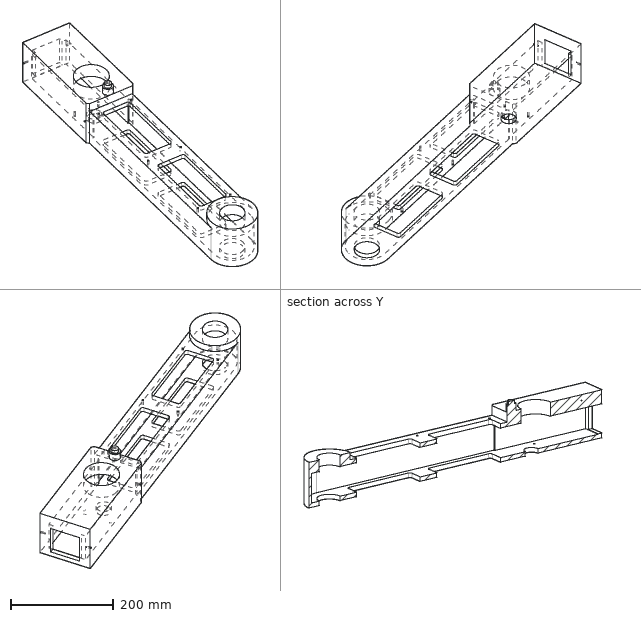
import cadquery as cq

length = 710.0
wall = 10.0
cavity_height = 60.0
cavity_top = wall + cavity_height

housing_length = 230.0
housing_width = 110.0
housing_height = 100.0
housing_chamfer = 5.0
housing_cavity_width = 80.0
end_window_width = 62.5
end_window_sill = 1.0
socket_diameter = 70.0
socket_x = 160.5
shaft_hole_diameter = 30.0
shaft_hole_x = 170.5
floor_screw_x = 143.5
floor_screw_y = 28.0
side_hole_diameter = 2.5
side_hole_depth = 10.0
side_hole_positions = (3.5, 219.5)

pin_diameter = 22.0
pin_x = housing_length - pin_diameter / 2
pin_shoulder_height = 115.0
pin_tip_diameter = 15.0
pin_top = 122.0

beam_width = 100.0
beam_height = 80.0
beam_cavity_width = 85.0
window_length = 153.5
window_width = 62.5
window_corner_radius = 5.0
window_centers = (323.0, 517.5)
screw_diameter = 3.3
screw_pitch = 175.5
screw_middle_x = 419.5
screw_y = 38.0

hub_diameter = beam_width
hub_height = 95.0
hub_x = length - hub_diameter / 2
hub_bore_diameter = 50.0
hub_cavity_diameter = beam_cavity_width


def block(x_start, x_end, width, z_start, z_end):
    """Box centred on the XZ plane."""
    return (
        cq.Workplane("XY", origin=(x_start, 0, z_start))
        .box(x_end - x_start, width, z_end - z_start, centered=(False, True, False))
    )


def cylinder(x, y, diameter, z_start, z_end):
    """Vertical cylinder."""
    return cq.Workplane("XY", origin=(x, y, z_start)).circle(diameter / 2).extrude(z_end - z_start)


housing = block(0, housing_length, housing_width, 0, housing_height)
housing = housing.edges("|Z and >X").chamfer(housing_chamfer)
beam = block(housing_length, hub_x, beam_width, 0, beam_height)
hub = cylinder(hub_x, 0, hub_diameter, 0, hub_height)
pin = cylinder(pin_x, 0, pin_diameter, housing_height, pin_shoulder_height)
pin_tip = cylinder(pin_x, 0, pin_tip_diameter, pin_shoulder_height, pin_top)
result = housing.union(beam).union(hub).union(pin).union(pin_tip)

result = result.cut(block(0, wall, end_window_width, wall + end_window_sill, cavity_top))
result = result.cut(block(wall, housing_length, housing_cavity_width, wall, cavity_top))
result = result.cut(block(housing_length, hub_x, beam_cavity_width, wall, cavity_top))
result = result.cut(cylinder(hub_x, 0, hub_cavity_diameter, wall, cavity_top))

result = result.cut(cylinder(socket_x, 0, socket_diameter, wall, housing_height))
result = result.cut(cylinder(shaft_hole_x, 0, shaft_hole_diameter, 0, wall))
for side in (-1, 1):
    result = result.cut(cylinder(floor_screw_x, side * floor_screw_y, screw_diameter, 0, wall))

for x in side_hole_positions:
    for side in (-1, 1):
        side_hole = (
            cq.Workplane("XZ", origin=(x, side * housing_width / 2, housing_height / 2))
            .circle(side_hole_diameter / 2)
            .extrude(side * side_hole_depth)
        )
        result = result.cut(side_hole)

for x in window_centers:
    window = block(x - window_length / 2, x + window_length / 2, window_width, 0, beam_height)
    result = result.cut(window.edges("|Z").fillet(window_corner_radius))

for column in (-1, 0, 1):
    for side in (-1, 1):
        x = screw_middle_x + column * screw_pitch
        result = result.cut(cylinder(x, side * screw_y, screw_diameter, cavity_top, beam_height))

result = result.cut(cylinder(hub_x, 0, hub_bore_diameter, 0, hub_height))